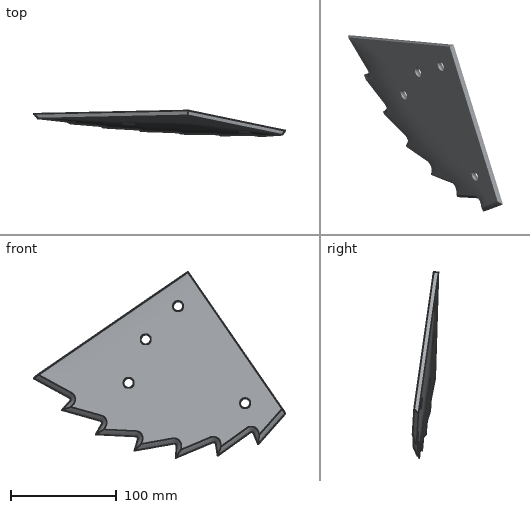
import cadquery as cq
import math

thickness = 4.7
tip_radius = 177.35
root_radius = 163.3
tooth_count = 7
tooth_pitch = 12.905
first_tip_angle = 0.2
gullet_radius = 2.2
bevel_angle = 45.7

hole_diameter = 9.6
hole_places = [(26.1, 21.55), (69.2, 30.25), (106.0, 55.2), (25.95, 134.1)]

swing_angle = -2.98
lean_angle = -6.09
turn_angle = -145.335

blade_plane = (
    cq.Plane.XZ()
    .rotated((0, swing_angle, 0))
    .rotated((lean_angle, 0, 0))
    .rotated((0, 0, turn_angle))
)


def polar(radius, angle):
    """Blade-plane vector at a distance from the apex, angle measured from the first side."""
    turn = math.radians(angle)
    return cq.Vector(radius * math.cos(turn), radius * math.sin(turn))


def tip(tooth):
    return polar(tip_radius, first_tip_angle + tooth * tooth_pitch)


def root(tooth):
    """Sharp inner corner between a tooth's long flank and the radial face of the next tooth."""
    return polar(root_radius, first_tip_angle + (tooth + 1) * tooth_pitch)


def gullet_arc(tooth):
    """Start, middle and end of the arc that rounds the root after a tooth."""
    corner = root(tooth)
    flank = (tip(tooth) - corner).normalized()
    face = corner.normalized()
    half_corner = flank.getAngle(face) / 2
    setback = gullet_radius / math.tan(half_corner)
    bisector = (flank + face).normalized()
    depth = gullet_radius / math.sin(half_corner) - gullet_radius
    return corner + flank * setback, corner + bisector * depth, corner + face * setback


def bevelled_sector():
    """Rear outline tapered towards the front; its end flanks run on past the straight sides."""
    last_tooth = tooth_count - 1
    before_first_tip = tip(0) * 2 - root(0)
    past_last_root = root(last_tooth) * 2 - tip(last_tooth)

    outline = cq.Workplane(blade_plane).moveTo(-tip_radius, -tip_radius)
    outline = outline.lineTo(before_first_tip.x, before_first_tip.y)
    for tooth in range(last_tooth):
        start, middle, end = gullet_arc(tooth)
        next_tip = tip(tooth + 1)
        outline = outline.lineTo(start.x, start.y)
        outline = outline.threePointArc((middle.x, middle.y), (end.x, end.y))
        outline = outline.lineTo(next_tip.x, next_tip.y)
    outline = outline.lineTo(past_last_root.x, past_last_root.y)
    return outline.close().extrude(thickness, taper=bevel_angle)


def square_corner():
    """Oversize block that trims the sector to its two square straight sides."""
    side = 2 * tip_radius
    return cq.Workplane(blade_plane).rect(side, side, centered=False).extrude(thickness)


def bolt_holes():
    """Pins, as long as the plate is thick, to cut from the blade."""
    centres = cq.Workplane(blade_plane).pushPoints(hole_places)
    return centres.circle(hole_diameter / 2).extrude(thickness)


result = bevelled_sector().intersect(square_corner()).cut(bolt_holes()).solids()